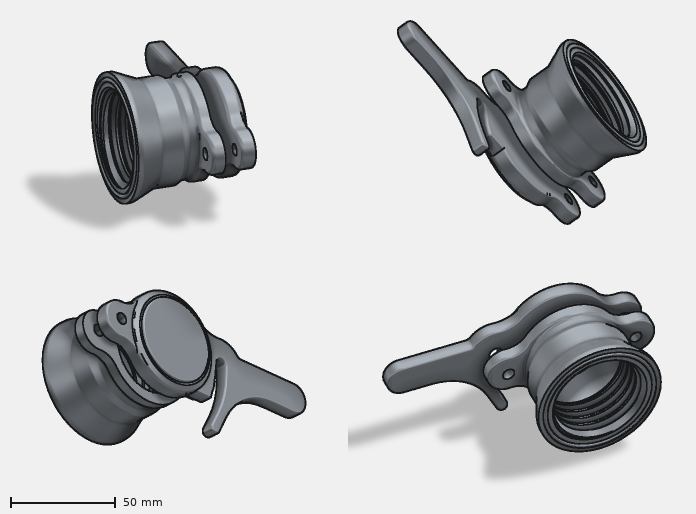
import cadquery as cq
import math


LUG_OFFSET = 33.0
LUG_BLEND = 12.0

SELECT_MARGIN = 0.01

PLATE_RADIUS = 26.25
PLATE_THICKNESS = 6.6
PLATE_EDGE_FILLET = 1.9
HOUSING_LUG_RADIUS = 10.35
HOUSING_HOLE_DIA = 6.0
NECK_RADIUS = 49.5 / 2
BARREL_RADIUS = 53.5 / 2
RIM_RADIUS = 63.7 / 2
SHOULDER_START = 11.2
BARREL_START = 14.8
FLARE_START = 25.8
RIM_START = 37.5
SPOUT_LENGTH = 40.15
NECK_FILLET = 1.4
SHOULDER_FILLET = 1.4
FLARE_FILLET = 1.0
RIM_FILLET = 2.2

OUTLET_RADIUS = 40.9 / 2
THREAD_MINOR_RADIUS = 42.94 / 2
THREAD_MAJOR_RADIUS = 48.53 / 2
MOUTH_RADIUS = 24.5
MOUTH_DEPTH = 4.6
THREAD_FLOOR = 17.2
THREAD_PITCH = 5.0
THREAD_CREST = 1.4
THREAD_ROOT = 0.6
THREAD_OVERLAP = 0.4
THREAD_PHASE = 70.0

SEAL_RADIUS = 28.25
SEAL_SECTION_RADIUS = 1.1

GATE_FRONT = 8.35
GATE_THICKNESS = 7.7
GATE_DISC_RADIUS = 26.4
GATE_LUG_RADIUS = 9.9
GATE_HOLE_DIA = 5.8
GATE_FRONT_FILLET = 1.6
GATE_REAR_FILLET = 1.25
BOSS_RADIUS = 14.1
BOSS_BLEND = 16.3
DOME_HEIGHT = 3.35
DOME_TOP_RADIUS = 21.9
DOME_LEDGE_HEIGHT = 2.1
DOME_LEDGE_RADIUS = 23.1
DOME_CONE_FOOT = (25.5, 0.7)

LEVER_END_X = -81.05
LEVER_RADIUS = 8.05
LEVER_FILLET = 3.0
TRIGGER_ANGLE = math.radians(64)
TRIGGER_TIP = (-29.6, -35.63)
TRIGGER_TIP_RADIUS = 2.85
TRIGGER_OUTER_BEND = 33.0
TRIGGER_INNER_BEND = 49.5
SLOT_WIDTH = 6.0
TOOTH_BOTTOM = -20.9
TOOTH_FILLET = 1.5


def front_plane(y):
    """Sketch plane with +X right and +Z up; extruding goes toward -Y."""
    return cq.Workplane("XZ", origin=(0, y, 0))


def blend_points(disc_radius, lug_radius, blend):
    """Upper concave arc joining a lug at +X to the disc: end on the lug, middle, end on the disc."""
    disc_reach = disc_radius + blend
    lug_reach = lug_radius + blend
    centre_x = (disc_reach**2 - lug_reach**2 + LUG_OFFSET**2) / (2 * LUG_OFFSET)
    centre_z = math.sqrt(disc_reach**2 - centre_x**2)
    lug_share = lug_radius / lug_reach
    disc_share = disc_radius / disc_reach
    lug_end = (LUG_OFFSET + (centre_x - LUG_OFFSET) * lug_share, centre_z * lug_share)
    disc_end = (centre_x * disc_share, centre_z * disc_share)
    chord_x = (lug_end[0] + disc_end[0]) / 2 - centre_x
    chord_z = (lug_end[1] + disc_end[1]) / 2 - centre_z
    scale = blend / math.hypot(chord_x, chord_z)
    middle = (centre_x + chord_x * scale, centre_z + chord_z * scale)
    return lug_end, middle, disc_end


def mirror_x(point):
    return (-point[0], point[1])


def mirror_z(point):
    return (point[0], -point[1])


def bend(corner, direction_in, direction_out, radius):
    """Start, middle and end of the arc that rounds a corner between two unit directions."""
    turn = math.acos(direction_in[0] * direction_out[0] + direction_in[1] * direction_out[1])
    tangent = radius * math.tan(turn / 2)
    start = (corner[0] - tangent * direction_in[0], corner[1] - tangent * direction_in[1])
    end = (corner[0] + tangent * direction_out[0], corner[1] + tangent * direction_out[1])
    inward = (direction_out[0] - direction_in[0], direction_out[1] - direction_in[1])
    size = math.hypot(*inward)
    sag = radius / math.cos(turn / 2) - radius
    middle = (corner[0] + sag * inward[0] / size, corner[1] + sag * inward[1] / size)
    return start, middle, end


def revolve_about_bore(profile):
    """Revolve a (radius, y) outline drawn in the XY plane about the Y axis."""
    return profile.close().revolve(360, (0, 0, 0), (0, 1, 0))


def around_bore(radius, y_front, y_rear):
    """Selector for edges that lie within the given radius and between two y levels."""
    return cq.selectors.BoxSelector(
        (-radius - SELECT_MARGIN, y_front - SELECT_MARGIN, -radius - SELECT_MARGIN),
        (radius + SELECT_MARGIN, y_rear + SELECT_MARGIN, radius + SELECT_MARGIN),
    )


def round_ring(body, radius, depth, fillet):
    """Round the circular edge of the given radius at a depth in front of the plate's rear face."""
    return body.edges(around_bore(radius, -depth, -depth)).fillet(fillet)


def lug_hole(x, diameter, y, depth):
    return front_plane(y).center(x, 0).circle(diameter / 2).extrude(depth)


def seal_ring():
    """Ring of round section, sunk to half its depth in the spout's front face."""
    return (
        cq.Workplane("XY", origin=(SEAL_RADIUS, -SPOUT_LENGTH, 0))
        .circle(SEAL_SECTION_RADIUS)
        .revolve(360, (-SEAL_RADIUS, 0, 0), (-SEAL_RADIUS, 1, 0))
    )


def housing_plate():
    lug_end, middle, disc_end = blend_points(PLATE_RADIUS, HOUSING_LUG_RADIUS, LUG_BLEND)
    lug_tip = (LUG_OFFSET + HOUSING_LUG_RADIUS, 0)
    outline = (
        front_plane(0)
        .moveTo(*disc_end)
        .threePointArc(middle, lug_end)
        .threePointArc(lug_tip, mirror_z(lug_end))
        .threePointArc(mirror_z(middle), mirror_z(disc_end))
        .threePointArc((0, -PLATE_RADIUS), mirror_z(mirror_x(disc_end)))
        .threePointArc(mirror_z(mirror_x(middle)), mirror_z(mirror_x(lug_end)))
        .threePointArc(mirror_x(lug_tip), mirror_x(lug_end))
        .threePointArc(mirror_x(middle), mirror_x(disc_end))
        .threePointArc((0, PLATE_RADIUS), disc_end)
        .close()
    )
    plate = outline.extrude(PLATE_THICKNESS)
    return plate.faces("<Y").edges().fillet(PLATE_EDGE_FILLET)


def spout_exterior():
    profile = (
        cq.Workplane("XY")
        .lineTo(NECK_RADIUS, 0)
        .lineTo(NECK_RADIUS, -SHOULDER_START)
        .lineTo(BARREL_RADIUS, -BARREL_START)
        .lineTo(BARREL_RADIUS, -FLARE_START)
        .lineTo(RIM_RADIUS, -RIM_START)
        .lineTo(RIM_RADIUS, -SPOUT_LENGTH)
        .lineTo(0, -SPOUT_LENGTH)
    )
    spout = revolve_about_bore(profile)
    spout = round_ring(spout, NECK_RADIUS, SHOULDER_START, SHOULDER_FILLET)
    spout = round_ring(spout, BARREL_RADIUS, FLARE_START, FLARE_FILLET)
    spout = round_ring(spout, BARREL_RADIUS, BARREL_START, SHOULDER_FILLET)
    return round_ring(spout, RIM_RADIUS, RIM_START, RIM_FILLET)


def bore():
    profile = (
        cq.Workplane("XY")
        .lineTo(OUTLET_RADIUS, 0)
        .lineTo(OUTLET_RADIUS, -THREAD_FLOOR)
        .lineTo(THREAD_MINOR_RADIUS, -THREAD_FLOOR)
        .lineTo(THREAD_MINOR_RADIUS, MOUTH_DEPTH - SPOUT_LENGTH)
        .lineTo(MOUTH_RADIUS, -SPOUT_LENGTH)
        .lineTo(0, -SPOUT_LENGTH)
    )
    return revolve_about_bore(profile)


def thread_groove():
    """Trapezoidal helical groove, running in from outside the mouth and ending at the thread floor."""
    length = SPOUT_LENGTH - THREAD_FLOOR
    mouth_half = (THREAD_PITCH - THREAD_CREST) / 2
    root_half = THREAD_ROOT / 2
    flare = (mouth_half - root_half) * THREAD_OVERLAP / (THREAD_MAJOR_RADIUS - THREAD_MINOR_RADIUS)
    inner = THREAD_MINOR_RADIUS - THREAD_OVERLAP
    helix = cq.Wire.makeHelix(THREAD_PITCH, THREAD_PITCH + length - mouth_half, THREAD_MINOR_RADIUS)
    groove = (
        cq.Workplane("XZ")
        .moveTo(inner, -mouth_half - flare)
        .lineTo(THREAD_MAJOR_RADIUS, -root_half)
        .lineTo(THREAD_MAJOR_RADIUS, root_half)
        .lineTo(inner, mouth_half + flare)
        .close()
        .sweep(cq.Workplane(obj=helix), isFrenet=True)
    )
    return (
        groove.rotate((0, 0, 0), (0, 0, 1), THREAD_PHASE)
        .rotate((0, 0, 0), (1, 0, 0), -90)
        .translate((0, -SPOUT_LENGTH - THREAD_PITCH, 0))
    )


def make_housing():
    body = housing_plate().union(spout_exterior())
    neck_corner = around_bore(NECK_RADIUS, -PLATE_THICKNESS, PLATE_EDGE_FILLET - PLATE_THICKNESS)
    body = body.edges(neck_corner).fillet(NECK_FILLET)
    body = body.cut(bore()).cut(thread_groove()).cut(seal_ring())
    for x in (-LUG_OFFSET, LUG_OFFSET):
        body = body.cut(lug_hole(x, HOUSING_HOLE_DIA, 0, PLATE_THICKNESS))
    return body


def tooth_side(z):
    """Point at height z on the slot's disc side, an arc about the hole in the opposite lug."""
    swing = 2 * LUG_OFFSET - SLOT_WIDTH / 2
    return LUG_OFFSET - math.sqrt(swing**2 - z**2), z


def draw_boss(outline, boss_end):
    """From the lever's top edge through the concave corner and around the boss to boss_end."""
    boss_x = -LUG_OFFSET
    corner_z = LEVER_RADIUS + LEVER_FILLET
    corner_x = boss_x - math.sqrt((BOSS_RADIUS + LEVER_FILLET) ** 2 - corner_z**2)
    start_angle = math.atan2(corner_z, corner_x - boss_x)
    end_angle = math.atan2(boss_end[1], boss_end[0] - boss_x)
    corner_middle_angle = (start_angle - math.pi - math.pi / 2) / 2
    corner_middle = (
        corner_x + LEVER_FILLET * math.cos(corner_middle_angle),
        corner_z + LEVER_FILLET * math.sin(corner_middle_angle),
    )

    def on_boss(angle):
        return boss_x + BOSS_RADIUS * math.cos(angle), BOSS_RADIUS * math.sin(angle)

    return (
        outline.lineTo(corner_x, LEVER_RADIUS)
        .threePointArc(corner_middle, on_boss(start_angle))
        .threePointArc(on_boss((start_angle + end_angle) / 2), boss_end)
    )


def draw_trigger(outline):
    """From the slot's lever side around the trigger to the lever's underside."""
    along = (math.cos(TRIGGER_ANGLE), -math.sin(TRIGGER_ANGLE))
    across = (TRIGGER_TIP_RADIUS * math.sin(TRIGGER_ANGLE), TRIGGER_TIP_RADIUS * math.cos(TRIGGER_ANGLE))
    tip_left = (TRIGGER_TIP[0] - across[0], TRIGGER_TIP[1] - across[1])
    tip_right = (TRIGGER_TIP[0] + across[0], TRIGGER_TIP[1] + across[1])
    tip_end = (
        TRIGGER_TIP[0] + TRIGGER_TIP_RADIUS * along[0],
        TRIGGER_TIP[1] + TRIGGER_TIP_RADIUS * along[1],
    )

    slope = math.tan(TRIGGER_ANGLE)
    slot_left = -LUG_OFFSET - SLOT_WIDTH / 2
    inner_corner = (slot_left, tip_right[1] + (tip_right[0] - slot_left) * slope)
    outer_corner = (tip_left[0] + (tip_left[1] + LEVER_RADIUS) / slope, -LEVER_RADIUS)
    inner_start, inner_middle, inner_end = bend(inner_corner, (0, -1), along, TRIGGER_INNER_BEND)
    outer_start, outer_middle, outer_end = bend(outer_corner, (1, 0), along, TRIGGER_OUTER_BEND)

    return (
        outline.lineTo(*inner_start)
        .threePointArc(inner_middle, inner_end)
        .lineTo(*tip_right)
        .threePointArc(tip_end, tip_left)
        .lineTo(*outer_end)
        .threePointArc(outer_middle, outer_start)
    )


def gate_plate():
    lug_end, lug_middle, disc_end = blend_points(GATE_DISC_RADIUS, GATE_LUG_RADIUS, LUG_BLEND)
    boss_end, boss_middle, boss_disc_end = (
        mirror_x(point) for point in blend_points(GATE_DISC_RADIUS, BOSS_RADIUS, BOSS_BLEND)
    )
    tooth_tip = tooth_side(TOOTH_BOTTOM)
    tooth_root = (-math.sqrt(GATE_DISC_RADIUS**2 - TOOTH_BOTTOM**2), TOOTH_BOTTOM)
    slot_radius = SLOT_WIDTH / 2

    outline = front_plane(GATE_FRONT + GATE_THICKNESS).moveTo(LEVER_END_X, LEVER_RADIUS)
    outline = (
        draw_boss(outline, boss_end)
        .threePointArc(boss_middle, boss_disc_end)
        .threePointArc((0, GATE_DISC_RADIUS), disc_end)
        .threePointArc(lug_middle, lug_end)
        .threePointArc((LUG_OFFSET + GATE_LUG_RADIUS, 0), mirror_z(lug_end))
        .threePointArc(mirror_z(lug_middle), mirror_z(disc_end))
        .threePointArc((0, -GATE_DISC_RADIUS), tooth_root)
        .lineTo(*tooth_tip)
        .threePointArc(tooth_side(TOOTH_BOTTOM / 2), (slot_radius - LUG_OFFSET, 0))
        .threePointArc((-LUG_OFFSET, slot_radius), (-slot_radius - LUG_OFFSET, 0))
    )
    outline = (
        draw_trigger(outline)
        .lineTo(LEVER_END_X, -LEVER_RADIUS)
        .threePointArc((LEVER_END_X - LEVER_RADIUS, 0), (LEVER_END_X, LEVER_RADIUS))
        .close()
    )

    tooth_edge = cq.selectors.NearestToPointSelector(
        (tooth_tip[0], GATE_FRONT + GATE_THICKNESS / 2, tooth_tip[1])
    )
    plate = outline.extrude(GATE_THICKNESS).edges(tooth_edge).fillet(TOOTH_FILLET)
    plate = plate.faces("<Y").edges().fillet(GATE_FRONT_FILLET)
    return plate.faces(">Y").edges().fillet(GATE_REAR_FILLET)


def gate_dome():
    rear = GATE_FRONT + GATE_THICKNESS
    middle = GATE_FRONT + GATE_THICKNESS / 2
    foot_radius, foot_height = DOME_CONE_FOOT
    edge = DOME_HEIGHT - DOME_LEDGE_HEIGHT
    edge_set_back = edge * (1 - math.sqrt(0.5))
    edge_middle = (DOME_TOP_RADIUS - edge_set_back, rear + DOME_HEIGHT - edge_set_back)
    profile = (
        cq.Workplane("XY")
        .moveTo(0, middle)
        .lineTo(GATE_DISC_RADIUS, middle)
        .lineTo(GATE_DISC_RADIUS, rear - GATE_REAR_FILLET)
        .tangentArcPoint((foot_radius, rear + foot_height), relative=False)
        .lineTo(DOME_LEDGE_RADIUS, rear + DOME_LEDGE_HEIGHT)
        .lineTo(DOME_TOP_RADIUS, rear + DOME_LEDGE_HEIGHT)
        .threePointArc(edge_middle, (DOME_TOP_RADIUS - edge, rear + DOME_HEIGHT))
        .lineTo(0, rear + DOME_HEIGHT)
    )
    return revolve_about_bore(profile)


def make_gate():
    body = gate_plate().union(gate_dome())
    return body.cut(lug_hole(LUG_OFFSET, GATE_HOLE_DIA, GATE_FRONT + GATE_THICKNESS, GATE_THICKNESS))


housing = make_housing()
seal = seal_ring()
gate = make_gate()

result = cq.Compound.makeCompound([housing.solids().val(), seal.val(), gate.solids().val()])